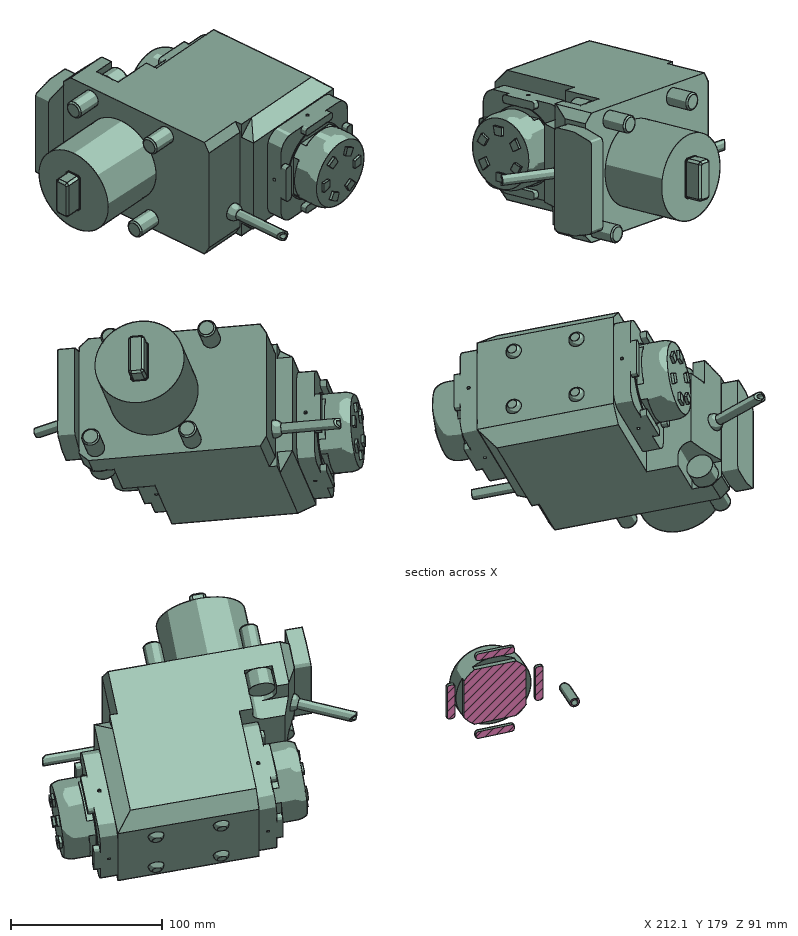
import cadquery as cq
import math


HALF_HEIGHT = 45.0
FOOT_LEFT = -50.3
FOOT_RIGHT = 76.0
FOOT_DEPTH = 31.8
FOOT_LEFT_CHAMFER = (6.4, 6.0)
FOOT_RIGHT_CHAMFER = (4.0, 6.8)
SHOULDER_START = (FOOT_LEFT, 17.8)
SHOULDER_BEND = (-43.5, FOOT_DEPTH)
SHOULDER_END = (-38.5, 45.4)
BACK = 114.1
CENTRE_X = 39.9
BLOCK_LENGTH = 95.2
BLOCK_CHAMFER = 10.4
BLOCK_LEFT = CENTRE_X - BLOCK_LENGTH / 2
BLOCK_RIGHT = CENTRE_X + BLOCK_LENGTH / 2

SHANK_DIAMETER = 60.0
SHANK_LENGTH = 49.0
TANG_WIDTH = 10.5
TANG_HEIGHT = 27.5
TANG_LENGTH = 12.5
TANG_CORNER = 1.7
TANG_END_CHAMFER = 1.5
TANG_FOOT = (12.0, 28.0)
TANG_FOOT_LENGTH = 0.8

STOP_THICKNESS = 11.5
STOP_BACK = 17.2
STOP_FRONT = -15.0
STOP_HALF_HEIGHT = 36.0
STOP_TIP_HALF_HEIGHT = 31.8
STOP_BACK_ROUND = 3.0
STOP_TIP_ROUND = 3.0

BOLT_DIAMETER = 12.0
BOLT_END_CHAMFER = 1.0
BOLT_Z = 36.5
BOLT_INNER_X = 26.0
BOLT_OUTER_X = 39.0
HEADED_BOLT_REACH = 18.5
PLAIN_BOLT_REACH = 17.8
BOLT_HEAD_DIAMETER = 18.0
BOLT_HEAD_HEIGHT = 11.9
POCKET_FLOOR = 16.5
POCKET_RADIUS = 9.3

PLATE_SIZE = 68.0
PLATE_THICKNESS = 11.9
PLATE_CORNER = 10.4
AXIS_Y = 80.2
PAD_WIDTH = 27.4
PAD_DEPTH = 5.7
PAD_HEIGHT = 4.2
PAD_CORNER = 2.1
COLLAR_RADIUS = 27.5
COLLAR_HEIGHT = 0.6
NUT_RADIUS = 26.5
NUT_FACE_RADIUS = 24.4
NUT_FLAT_DISTANCE = 22.0
NUT_FLAT_LENGTH = 5.3
NUT_CURVE_START = 27.4
NUT_FACE = 34.4
LUG_HEIGHT = 2.0
LUG_COUNT = 6
LUG_INNER_RADIUS = 13.0
LUG_OUTER_RADIUS = 18.9
LUG_STRAIGHT_SIDE = -2.3
LUG_FLARED_INNER = 3.5
LUG_FLARED_OUTER = 4.9
PIN_HOLE_DIAMETER = 2.1
PIN_HOLE_DEPTH = 2.1

PLUG_BASE_RADIUS = 5.3
PLUG_TIP_RADIUS = 3.2
PLUG_HEIGHT = 3.4
PLUG_BULGE = 0.6
PLUG_SPACING_X = 44.0
PLUG_SPACING_Z = 44.1

BALL_DIAMETER = 12.0
PIPE_DIAMETER = 7.0
PIPE_BORE = 4.0
PIPE_REACH = 44.1
LEFT_BALL = (-47.0, 23.1, 0)
RIGHT_BALL = (76.8, 24.0, -21.5)


def box(x, y, z):
    """Box between the given (low, high) pairs."""
    return cq.Workplane("XY").box(
        x[1] - x[0], y[1] - y[0], z[1] - z[0], centered=False
    ).translate((x[0], y[0], z[0]))


def plane_facing_front(y):
    """Plane at depth y whose local axes are X and Z and whose normal is -Y."""
    return cq.Workplane(cq.Plane(origin=(0, y, 0), xDir=(1, 0, 0), normal=(0, -1, 0)))


def make_foot():
    outline = (
        cq.Workplane("XY")
        .workplane(offset=-HALF_HEIGHT)
        .moveTo(FOOT_LEFT, 0)
        .lineTo(*SHOULDER_START)
        .lineTo(*SHOULDER_BEND)
        .lineTo(*SHOULDER_END)
        .lineTo(BLOCK_LEFT, SHOULDER_END[1])
        .lineTo(BLOCK_LEFT, FOOT_DEPTH)
        .lineTo(FOOT_RIGHT, FOOT_DEPTH)
        .lineTo(FOOT_RIGHT, 0)
        .close()
        .extrude(2 * HALF_HEIGHT)
    )
    left_x, left_z = FOOT_LEFT_CHAMFER
    right_x, right_z = FOOT_RIGHT_CHAMFER
    upper = [
        (FOOT_LEFT, HALF_HEIGHT - left_z),
        (FOOT_LEFT + left_x, HALF_HEIGHT),
        (FOOT_RIGHT - right_x, HALF_HEIGHT),
        (FOOT_RIGHT, HALF_HEIGHT - right_z),
    ]
    lower = [(x, -z) for x, z in reversed(upper)]
    section = plane_facing_front(SHOULDER_END[1]).polyline(upper + lower).close().extrude(SHOULDER_END[1])
    return outline.intersect(section)


def make_block():
    """Upper housing, chamfered on its back and right sides and on the overhang of the right end."""
    heights = (-HALF_HEIGHT, HALF_HEIGHT)
    shell = box((BLOCK_LEFT, BLOCK_RIGHT), (FOOT_DEPTH, BACK), heights)
    shell = shell.edges("(>Z or <Z) and (not <X)").chamfer(BLOCK_CHAMFER)
    core = box(
        (BLOCK_LEFT, BLOCK_RIGHT - BLOCK_CHAMFER),
        (FOOT_DEPTH, BACK - BLOCK_CHAMFER),
        heights,
    )
    return shell.union(core)


def make_bolt_pocket(x, side, open_from):
    """Pocket round a bolt head, open towards side * Z and, beyond y = open_from, towards -X."""
    top = SHOULDER_END[1]
    outer_z = HALF_HEIGHT + POCKET_RADIUS
    length = top - POCKET_FLOOR
    round_part = plane_facing_front(top).center(x, BOLT_Z).circle(POCKET_RADIUS).extrude(length)
    slot = box((x - POCKET_RADIUS, x + POCKET_RADIUS), (POCKET_FLOOR, top), (BOLT_Z, outer_z))
    opening = box(
        (FOOT_LEFT - POCKET_RADIUS, x),
        (open_from, top),
        (BOLT_Z - POCKET_RADIUS, outer_z),
    )
    pocket = round_part.union(slot).union(opening)
    return pocket if side > 0 else pocket.mirror("XY")


def make_bolt(x, z, reach):
    shank = plane_facing_front(POCKET_FLOOR).center(x, z).circle(BOLT_DIAMETER / 2)
    return shank.extrude(POCKET_FLOOR + reach).faces("<Y").chamfer(BOLT_END_CHAMFER)


def make_bolt_head(x, z):
    head = plane_facing_front(POCKET_FLOOR + BOLT_HEAD_HEIGHT).center(x, z)
    return head.circle(BOLT_HEAD_DIAMETER / 2).extrude(BOLT_HEAD_HEIGHT)


def make_spindle():
    shank = plane_facing_front(0).circle(SHANK_DIAMETER / 2).extrude(SHANK_LENGTH)
    tang = (
        plane_facing_front(-SHANK_LENGTH)
        .rect(TANG_WIDTH, TANG_HEIGHT)
        .extrude(TANG_LENGTH)
        .edges("|Y")
        .chamfer(TANG_CORNER)
        .faces("<Y")
        .chamfer(TANG_END_CHAMFER)
    )
    tang_foot = plane_facing_front(-SHANK_LENGTH).rect(*TANG_FOOT).extrude(TANG_FOOT_LENGTH)
    tang_foot = tang_foot.edges("|Y").chamfer(TANG_CORNER)
    return shank.union(tang).union(tang_foot)


def make_stop():
    """Block lying against the left side of the foot, tapered in front of the mounting face."""
    upper = [
        (STOP_BACK, STOP_HALF_HEIGHT),
        (0, STOP_HALF_HEIGHT),
        (STOP_FRONT, STOP_TIP_HALF_HEIGHT),
    ]
    lower = [(y, -z) for y, z in reversed(upper)]
    stop = cq.Workplane("YZ").workplane(offset=FOOT_LEFT).polyline(upper + lower).close()
    stop = stop.extrude(-STOP_THICKNESS)
    stop = stop.edges("|X and >Y").fillet(STOP_BACK_ROUND)
    return stop.edges("|X and <Y").fillet(STOP_TIP_ROUND)


def make_head(flat_angles, lug_angle):
    """Tool head on the YZ plane with its axis along +X; angles run from +Y towards +Z."""
    axis_start = (0, 0, 0)
    axis_end = (1, 0, 0)
    quarters = (0, 90, 180, 270)
    plate = cq.Workplane("YZ").rect(PLATE_SIZE, PLATE_SIZE).extrude(PLATE_THICKNESS)
    plate = plate.edges("|X").fillet(PLATE_CORNER)

    pad_offset = (PLATE_SIZE - PAD_DEPTH) / 2
    pad = cq.Workplane("YZ").center(pad_offset, 0).rect(PAD_DEPTH, PAD_WIDTH)
    pad = pad.extrude(PLATE_THICKNESS + PAD_HEIGHT).edges("|X").fillet(PAD_CORNER)
    pin_hole = cq.Workplane("XZ", origin=(PLATE_THICKNESS / 2, PLATE_SIZE / 2, 0))
    pin_hole = pin_hole.circle(PIN_HOLE_DIAMETER / 2).extrude(PIN_HOLE_DEPTH)
    for angle in quarters:
        plate = plate.union(pad.rotate(axis_start, axis_end, angle))
        plate = plate.cut(pin_hole.rotate(axis_start, axis_end, angle))

    collar = cq.Workplane("YZ").circle(COLLAR_RADIUS).extrude(PLATE_THICKNESS + COLLAR_HEIGHT)
    nut = (
        cq.Workplane("XY")
        .lineTo(0, NUT_RADIUS)
        .lineTo(NUT_CURVE_START, NUT_RADIUS)
        .tangentArcPoint((NUT_FACE, NUT_FACE_RADIUS), relative=False)
        .lineTo(NUT_FACE, 0)
        .close()
        .revolve(360, axis_start, axis_end)
    )
    flat = box(
        (PLATE_THICKNESS, PLATE_THICKNESS + NUT_FLAT_LENGTH),
        (NUT_FLAT_DISTANCE, NUT_RADIUS),
        (-NUT_RADIUS, NUT_RADIUS),
    )
    for angle in flat_angles:
        nut = nut.cut(flat.rotate(axis_start, axis_end, angle))

    lug = (
        cq.Workplane("YZ")
        .workplane(offset=NUT_FACE)
        .moveTo(LUG_INNER_RADIUS, LUG_FLARED_INNER)
        .lineTo(LUG_OUTER_RADIUS, LUG_FLARED_OUTER)
        .lineTo(LUG_OUTER_RADIUS, LUG_STRAIGHT_SIDE)
        .lineTo(LUG_INNER_RADIUS, LUG_STRAIGHT_SIDE)
        .close()
        .extrude(LUG_HEIGHT)
    )
    for i in range(LUG_COUNT):
        nut = nut.union(lug.rotate(axis_start, axis_end, lug_angle + i * 360 / LUG_COUNT))
    return plate.union(collar).union(nut)


def make_plug(x, z):
    middle = ((PLUG_BASE_RADIUS + PLUG_TIP_RADIUS) / 2 + PLUG_BULGE, PLUG_HEIGHT / 2)
    plug = (
        cq.Workplane("XY")
        .lineTo(PLUG_BASE_RADIUS, 0)
        .threePointArc(middle, (PLUG_TIP_RADIUS, PLUG_HEIGHT))
        .lineTo(0, PLUG_HEIGHT)
        .close()
        .revolve(360, (0, 0, 0), (0, 1, 0))
    )
    return plug.translate((x, BACK, z))


def make_nozzle(ball_centre, angle):
    """Ball nozzle at ball_centre, its pipe turned by `angle` degrees about Z from +X.

    Half of the pipe end is cut off at 45 degrees on the -Y side, before the pipe is turned.
    """
    radius = PIPE_DIAMETER / 2
    ball_radius = BALL_DIAMETER / 2
    pipe_start = math.sqrt(ball_radius**2 - radius**2)
    body = (
        cq.Workplane("XY")
        .moveTo(-ball_radius, 0)
        .threePointArc((0, ball_radius), (pipe_start, radius))
        .lineTo(PIPE_REACH, radius)
        .lineTo(PIPE_REACH, 0)
        .close()
        .revolve(360, (0, 0, 0), (1, 0, 0))
    )
    bore = (
        cq.Workplane("YZ")
        .workplane(offset=ball_radius)
        .circle(PIPE_BORE / 2)
        .extrude(PIPE_REACH)
    )
    bevel = (
        cq.Workplane("XY")
        .workplane(offset=-radius)
        .moveTo(PIPE_REACH, 0)
        .lineTo(PIPE_REACH, -radius)
        .lineTo(PIPE_REACH - radius, -radius)
        .close()
        .extrude(PIPE_DIAMETER)
    )
    nozzle = body.cut(bore).cut(bevel)
    return nozzle.rotate((0, 0, 0), (0, 0, 1), angle).translate(ball_centre)


result = make_foot().union(make_block())
result = result.cut(make_bolt_pocket(-BOLT_INNER_X, 1, FOOT_DEPTH))
result = result.cut(make_bolt_pocket(-BOLT_OUTER_X, -1, POCKET_FLOOR))

for bolt_x, bolt_z in ((-BOLT_INNER_X, BOLT_Z), (-BOLT_OUTER_X, -BOLT_Z)):
    result = result.union(make_bolt(bolt_x, bolt_z, HEADED_BOLT_REACH))
    result = result.union(make_bolt_head(bolt_x, bolt_z))
    result = result.union(make_bolt(-bolt_x, -bolt_z, PLAIN_BOLT_REACH))

result = result.union(make_spindle()).union(make_stop())

right_head = make_head(flat_angles=(0, 90, 180, 270), lug_angle=0)
left_head = make_head(flat_angles=(90, 180, 270), lug_angle=90).rotate((0, 0, 0), (0, 0, 1), 180)
result = result.union(right_head.translate((BLOCK_RIGHT, AXIS_Y, 0)))
result = result.union(left_head.translate((BLOCK_LEFT, AXIS_Y, 0)))

for plug_side_x in (-1, 1):
    for plug_side_z in (-1, 1):
        plug_x = CENTRE_X + plug_side_x * PLUG_SPACING_X / 2
        plug_z = plug_side_z * PLUG_SPACING_Z / 2
        result = result.union(make_plug(plug_x, plug_z))

shoulder_tilt = math.degrees(
    math.atan2(SHOULDER_BEND[0] - SHOULDER_START[0], SHOULDER_BEND[1] - SHOULDER_START[1])
)
result = result.union(make_nozzle(LEFT_BALL, 180 - shoulder_tilt))
result = result.union(make_nozzle(RIGHT_BALL, 0))